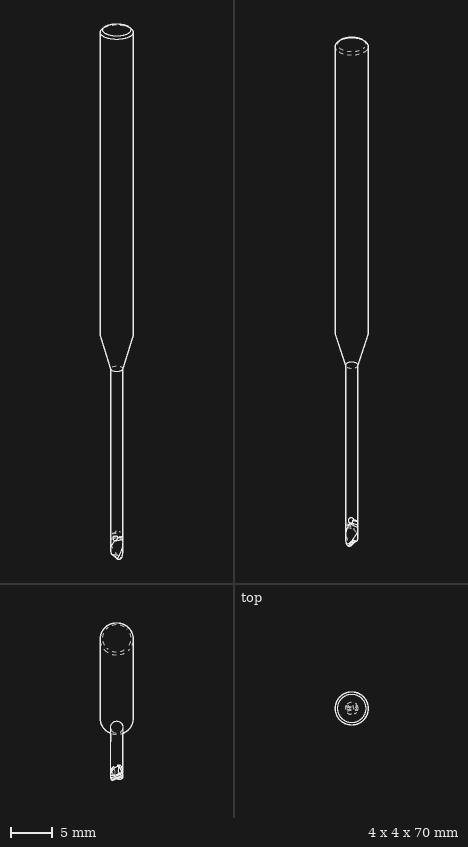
import cadquery as cq
import math

tool_length = 70.0
shank_diameter = 4.0
shank_chamfer = 0.3

neck_diameter = 1.5
cutter_length = 25.0
taper_length = 4.5
taper_top = cutter_length + taper_length

flute_count = 2
flute_spacing = 360.0 / flute_count
helix_angle = 30.0
helix_length = 2.45
flute_radius = 2.5
web_thickness = 0.44
flute_offset = web_thickness / 2 + flute_radius
helix_lead = math.pi * neck_diameter / math.tan(math.radians(helix_angle))
helix_turn = 360.0 * helix_length / helix_lead

flats_width = 1.1
flat_top = 2.9

runout_radius = 0.4
runout_offset = 0.9
runout_height = 2.8
runout_angle = -35.0

edge_land = 0.2
relief_angle = 25.0


def make_shank():
    """Cylindrical shank with a chamfered top and a cone down to the neck."""
    radius = shank_diameter / 2
    profile = [
        (0, cutter_length),
        (neck_diameter / 2, cutter_length),
        (radius, taper_top),
        (radius, tool_length - shank_chamfer),
        (radius - shank_chamfer, tool_length),
        (0, tool_length),
    ]
    return cq.Workplane("XZ").polyline(profile).close().revolve(360, (0, 0), (0, 1))


def flute_cut():
    """Helical flute that opens toward -Y at the tip."""
    return (
        cq.Workplane("XY")
        .moveTo(0, -flute_offset)
        .circle(flute_radius)
        .twistExtrude(helix_length, helix_turn)
    )


def flat_cut():
    """Flat on the +X side above the top of the flute."""
    flat_depth = (neck_diameter - flats_width) / 2
    return (
        cq.Workplane("XY")
        .box(flat_depth, neck_diameter, flat_top - helix_length, centered=(False, True, False))
        .translate((flats_width / 2, 0, helix_length))
    )


def runout_cut():
    """Ball-shaped scoop beside a flat, at the upper end of a flute."""
    return (
        cq.Workplane("XY")
        .sphere(runout_radius)
        .translate((runout_offset, 0, runout_height))
        .rotate((0, 0, 0), (0, 0, 1), runout_angle)
    )


def relief_cut():
    """Wedge that slopes the end face up from the cutting edge toward -Y."""
    reach = neck_diameter
    rise = reach * math.tan(math.radians(relief_angle))
    inner = -edge_land / 2
    wedge = [(inner, 0), (inner - reach, 0), (inner - reach, rise)]
    return cq.Workplane("YZ").polyline(wedge).close().extrude(neck_diameter, both=True)


def make_cutter():
    """Neck and cutting head in one piece."""
    cutter = cq.Workplane("XY").circle(neck_diameter / 2).extrude(cutter_length)
    cuts = [flute_cut(), flat_cut(), runout_cut(), relief_cut()]
    for index in range(flute_count):
        for cut in cuts:
            cutter = cutter.cut(cut.rotate((0, 0, 0), (0, 0, 1), index * flute_spacing))
    return cutter


shank = make_shank()
cutter = make_cutter()

result = cq.Compound.makeCompound([shank.val(), cutter.val()])